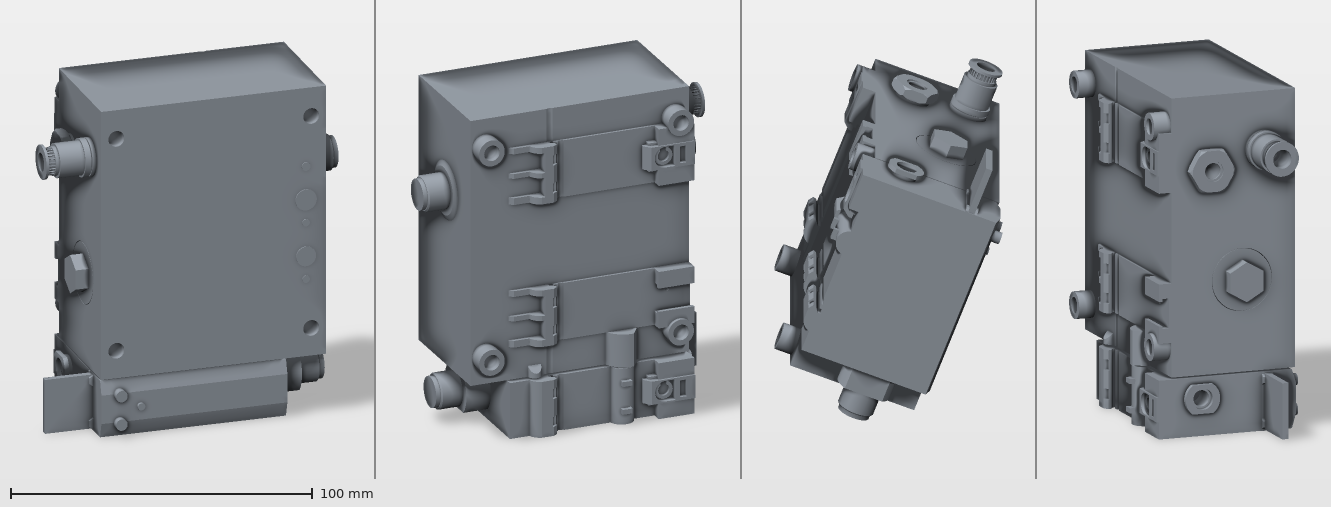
import cadquery as cq
import math


height = 115.5
housing_bottom = 20.7
housing_width = 44.0
housing_length = 65.0
cover_length = 13.6
housing_height = height - housing_bottom
rear_face = housing_length + cover_length

module_height = 20.0
module_width = 44.4
module_nose = 1.5
module_nose_low = 5.2
module_nose_high = 15.2
carrier_joint = 0.3
port_neck_end = -1.6
port_face = -3.2

seat_height = 20.2
seat_bottoms = (32.5, 83.5)
carrier_back = -0.9
carrier_rear_back = -1.3
hook_face = -4.4
ledge_face = -4.5
ledge_length = 12.8
latch_height = 8.3
latch_flange_height = 10.2
latch_flange_face = -3.2
latch_slide_length = 15.6
latch_flange_length = 15.9
latch_tip = 17.7
module_latch_face = -5.3
housing_latch_face = -5.0

spacer_diameter = 9.2
spacer_bore = 5.5
spacer_face = -5.9
spacer_root = 1.2
spacer_front_y = 5.3
spacer_rear_y = 73.5
spacer_heights = (30.4, 105.3)

push_in_place = (32.7, 95.7)
nipple_place = (12.9, 90.7)
plug_place = (25.1, 52.0)
plug_recess_diameter = 21.5
plug_flange_diameter = 21.0
plug_flange_depth = 2.3


def box(x0, x1, y0, y1, z0, z1):
    """Box between two corners."""
    return cq.Workplane("XY").box(x1 - x0, y1 - y0, z1 - z0, centered=False).translate((x0, y0, z0))


def rod_x(x0, x1, y, z, diameter):
    """Round rod along X."""
    return cq.Workplane("YZ").center(y, z).circle(diameter / 2).extrude(x1 - x0).translate((x0, 0, 0))


def rod_y(y0, y1, place, diameter):
    """Round rod along Y, centred on an (x, z) place."""
    x, z = place
    return cq.Workplane("XZ").center(x, z).circle(diameter / 2).extrude(y0 - y1).translate((0, y0, 0))


def prism_y(y0, y1, place, across_flats, sides, turn=0.0):
    """Regular prism along Y, turned about its own axis by an angle in degrees."""
    x, z = place
    corners = across_flats / math.cos(math.pi / sides)
    prism = cq.Workplane("XZ").polygon(sides, corners).extrude(y0 - y1)
    return prism.rotate((0, 0, 0), (0, 1, 0), turn).translate((x, y0, z))


def carrier_profile(bottom, tall):
    """Rail carrier: hook at the rear, stepped groove, flat back and a ledge with a latch channel."""
    middle = bottom + tall / 2
    carrier = (
        cq.Workplane("XY")
        .moveTo(carrier_joint, housing_length)
        .lineTo(carrier_rear_back, housing_length)
        .lineTo(carrier_rear_back, 58.0)
        .threePointArc((-3.2, 56.8), (hook_face, 54.9))
        .lineTo(hook_face, 50.5)
        .lineTo(-3.2, 48.9)
        .lineTo(-2.2, 49.2)
        .lineTo(carrier_back, 50.8)
        .lineTo(0, 50.8)
        .lineTo(0, 49.2)
        .lineTo(carrier_back, 49.2)
        .lineTo(carrier_back, 47.6)
        .lineTo(-0.3, 47.6)
        .lineTo(-0.3, 46.5)
        .lineTo(-0.6, 46.5)
        .lineTo(-0.6, 45.5)
        .lineTo(carrier_back, 45.5)
        .lineTo(carrier_back, ledge_length)
        .lineTo(ledge_face, ledge_length)
        .lineTo(ledge_face, 0)
        .lineTo(carrier_joint, 0)
        .close()
        .extrude(tall)
        .translate((0, 0, bottom))
    )
    half_slot = latch_height / 2
    half_flange = latch_flange_height / 2
    carrier = carrier.cut(
        box(ledge_face, carrier_back, 0, ledge_length, middle - half_slot, middle + half_slot)
    )
    carrier = carrier.cut(
        box(latch_flange_face, carrier_back, 0, ledge_length, middle - half_flange, middle + half_flange)
    )
    return carrier.cut(hook_notches(middle))


def hook_notches(middle):
    """Two notches in the bevelled tip of the hook."""
    notch_height = 3.6
    notch_spacing = 9.9
    notches = cq.Workplane("XY")
    for side in (-1, 1):
        z = middle + side * notch_spacing / 2
        notches = notches.add(
            box(hook_face, -2.8, 48.5, 50.8, z - notch_height / 2, z + notch_height / 2)
        )
    return notches.combine()


def rail_seat(bottom):
    """Rail carrier shape moulded on the housing, with two windows and a bevelled rear edge."""
    window_front = 53.6
    bevel_front = 63.5
    seat = carrier_profile(bottom, seat_height)
    window_spans = ((2.4, 9.4), (11.1, 18.1))
    for low, high in window_spans:
        seat = seat.cut(box(hook_face, 0, window_front, housing_length, bottom + low, bottom + high))
    bevel_corners = [
        (carrier_rear_back, bevel_front),
        (carrier_rear_back, housing_length),
        (0, housing_length),
    ]
    bevel = cq.Workplane("XY").polyline(bevel_corners).close().extrude(height)
    return seat.cut(bevel)


def housing_wedge():
    """Rail wedge beside the lower spacer."""
    return (
        cq.Workplane("XY")
        .moveTo(0, 30.1)
        .threePointArc((-4.2, 26.9), (-5.3, 22.1))
        .lineTo(-1.4, 19.4)
        .lineTo(0, 19.4)
        .close()
        .extrude(seat_bottoms[0] - housing_bottom)
        .translate((0, 0, housing_bottom))
    )


def slanted_stud():
    """Half-round stud on the rail side with a slanted top."""
    radius = 2.3
    stud_y = 55.7
    stud_top = 24.6
    top_drop = 2.3
    stud = cq.Workplane("XY").center(0, stud_y).circle(radius).extrude(stud_top - housing_bottom)
    stud = stud.translate((0, 0, housing_bottom))
    slope = (
        cq.Workplane("XZ")
        .polyline([(0, stud_top), (-radius, stud_top), (-radius, stud_top - top_drop)])
        .close()
        .extrude(-rear_face)
    )
    return stud.cut(slope)


def rail_side_groove():
    """Shallow round groove along the height of the rail side, outside the carriers and the plain middle."""
    groove = cq.Workplane("XY").moveTo(0, 51.3).threePointArc((0.3, 50.2), (0, 49.2)).close()
    groove = groove.extrude(housing_height).translate((0, 0, housing_bottom))
    plain_middle = box(-1.2, 1.2, 46.2, 53.1, seat_bottoms[0], seat_bottoms[1] + seat_height)
    return groove.cut(plain_middle)


def spacers_at(y):
    """Two spacer tubes on the rail side at one depth, without their bores."""
    return [rod_x(spacer_face, spacer_root, y, z, spacer_diameter) for z in spacer_heights]


def drill_spacers(body, y):
    """Bore the two spacers at one depth right through the body."""
    for z in spacer_heights:
        body = body.cut(rod_x(spacer_face, housing_width, y, z, spacer_bore))
    return body


def make_housing():
    vent_diameter = 1.5
    vent_y = 8.3
    vent_z = 44.7
    housing = box(0, housing_width, 0, housing_length, housing_bottom, height)
    housing = housing.cut(rail_side_groove())
    for bottom in seat_bottoms:
        housing = housing.union(rail_seat(bottom))
    housing = housing.union(housing_wedge()).union(slanted_stud())
    for spacer in spacers_at(spacer_front_y):
        housing = housing.union(spacer)
    housing = drill_spacers(housing, spacer_front_y)
    housing = housing.cut(rod_y(0, plug_flange_depth, plug_place, plug_recess_diameter))
    return housing.cut(rod_x(carrier_back, carrier_back + 1.2, vent_y, vent_z, vent_diameter))


def round_connector(start, shank_end, tip_end, place):
    """Round connector shank with a bevelled end and a narrower tip, pointing to the rear."""
    bevel = 0.5
    shank_diameter = 12.5
    tip_diameter = 10.9
    shank = rod_y(start, shank_end, place, shank_diameter).faces(">Y").chamfer(bevel)
    return shank.union(rod_y(start, tip_end, place, tip_diameter))


def make_cover():
    connector_place = (21.0, 82.9)
    indicator_y = 71.6
    collar_diameter = 20.6
    collar_top_diameter = 16.9
    collar_height = 0.9
    cover = box(0, housing_width, housing_length, rear_face, housing_bottom, height)
    for spacer in spacers_at(spacer_rear_y):
        cover = cover.union(spacer)
    cover = drill_spacers(cover, spacer_rear_y)
    x, z = connector_place
    collar = cq.Solid.makeCone(
        collar_diameter / 2,
        collar_top_diameter / 2,
        collar_height,
        pnt=cq.Vector(x, rear_face, z),
        dir=cq.Vector(0, 1, 0),
    )
    cover = cover.union(cq.Workplane(collar))
    cover = cover.union(round_connector(rear_face, 87.4, 88.9, connector_place))
    for z, diameter in ((87.8, 3.0), (76.0, 7.4), (67.9, 2.5), (56.0, 6.9), (47.9, 2.5)):
        cover = cover.union(rod_x(housing_width - 1.2, module_width, indicator_y, z, diameter))
    return cover


def module_block():
    """Block whose operating side is bevelled towards the top and the bottom."""
    shoulder = module_width - module_nose
    outline = [
        (carrier_joint, 0),
        (shoulder, 0),
        (module_width, module_nose_low),
        (module_width, module_nose_high),
        (shoulder, module_height),
        (carrier_joint, module_height),
    ]
    return cq.Workplane("XZ").polyline(outline).close().extrude(-housing_length)


def module_port(place):
    """Tube port with a flanged release ring that is flattened above and below."""
    ring_height = 9.8
    ring_diameter = 12.2
    neck_diameter = 9.0
    neck = rod_y(port_neck_end, 0, place, neck_diameter)
    port = neck.union(rod_y(port_face, port_neck_end, place, ring_diameter))
    x, z = place
    half = ring_height / 2
    return port.intersect(box(x - ring_diameter, x + ring_diameter, port_face, 0, z - half, z + half))


def label_plate():
    """Upright label plate with bevelled ribs beside its root and a low strip along one side."""
    plate_left = 32.9
    plate_right = 35.1
    plate_reach = 16.6
    strip_height = 0.3
    rib_width = 0.9
    rib_reach = 1.4
    rib_height = 3.9
    rib_bevel = 0.9
    rib_inset = 0.5
    plate = box(plate_left, plate_right, -plate_reach, 0, rib_inset, module_height - rib_inset)
    plate = plate.union(box(plate_left - rib_width, plate_left, -strip_height, 0, 0, module_height))
    for x in (plate_left - rib_width, plate_right):
        for low in (rib_inset, module_height - rib_inset - rib_height):
            high = low + rib_height
            outline = [(0, low), (-rib_reach, low + rib_bevel), (-rib_reach, high - rib_bevel), (0, high)]
            rib = cq.Workplane("YZ").polyline(outline).close().extrude(rib_width)
            plate = plate.union(rib.translate((x, 0, 0)))
    return plate


def connector_root(place, root_end):
    """Root of the module connector: round at the sides, flat above and below."""
    root_diameter = 18.5
    root_height = 12.9
    x, z = place
    half = root_height / 2
    limit = box(x - root_diameter, x + root_diameter, housing_length, root_end, z - half, z + half)
    return rod_y(housing_length, root_end, place, root_diameter).intersect(limit)


def make_module():
    port_place = (9.9, 13.2)
    port_bore_depth = 6.9
    connector_place = (24.1, 10.2)
    connector_root_end = 73.8
    port_mouth = 7.2
    port_bore = 5.5
    button_root = module_width - 1.2
    knob_face = 46.8
    knob_diameter = 4.0
    button_face = 45.4
    button_diameter = 2.5
    module = module_block().union(label_plate()).union(module_port(port_place))
    module = module.cut(rod_y(port_face, port_neck_end, port_place, port_mouth))
    module = module.cut(rod_y(port_neck_end, port_bore_depth, port_place, port_bore))
    module = module.union(connector_root(connector_place, connector_root_end))
    module = module.union(round_connector(connector_root_end, 81.4, 83.0, connector_place))
    for z in (15.0, 5.0):
        module = module.union(rod_x(button_root, knob_face, 6.4, z, knob_diameter))
    return module.union(rod_x(button_root, button_face, 13.7, 10.0, button_diameter))


def make_carrier():
    """Carrier of the module: rail profile, rounded rail clip and two small tabs on the clip."""
    tab_height = 1.7
    tab_root = -3.5
    carrier = carrier_profile(0, module_height)
    clip = (
        cq.Workplane("XY")
        .moveTo(carrier_joint, 28.6)
        .lineTo(carrier_back, 28.6)
        .threePointArc((hook_face, 24.5), (carrier_back, 20.2))
        .lineTo(carrier_joint, 20.2)
        .close()
        .extrude(module_height)
    )
    carrier = carrier.union(clip)
    for z in (15.0, 5.1):
        carrier = carrier.union(
            box(spacer_face, tab_root, 22.8, 26.3, z - tab_height / 2, z + tab_height / 2)
        )
    return carrier


def make_latch(middle, face):
    """Sliding latch: T-shaped bar, hooked tip, pocket with a split ring, and finger slot."""
    half = latch_height / 2
    half_flange = latch_flange_height / 2
    half_slot = 3.0
    slot_depth = 1.7
    bar = (
        cq.Workplane("XY")
        .moveTo(carrier_back, 0)
        .lineTo(face, 0)
        .lineTo(face, latch_slide_length)
        .lineTo(-2.8, latch_tip)
        .lineTo(-1.6, latch_tip)
        .lineTo(-1.6, latch_slide_length)
        .lineTo(carrier_back, latch_slide_length)
        .close()
        .extrude(latch_height)
        .translate((0, 0, middle - half))
    )
    flange = box(
        latch_flange_face, carrier_back, 0, latch_flange_length, middle - half_flange, middle + half_flange
    )
    slot = box(face, face + slot_depth, 3.0, 5.4, middle - half_slot, middle + half_slot)
    return bar.union(flange).cut(slot).cut(latch_pocket(middle, face))


def latch_pocket(middle, face):
    """Pocket with a round rear end, around a sunk ring that is split at the top."""
    depth = 2.5
    ring_sink = 1.4
    ring_outer_diameter = 6.5
    ring_inner_diameter = 4.0
    half_split = 1.2
    pocket_y = 10.7
    half = 3.7
    floor = face + depth
    pocket = rod_x(face, floor, pocket_y, middle, 2 * half)
    pocket = pocket.union(box(face, floor, pocket_y - half, pocket_y, middle - half, middle + half))
    ring = rod_x(face + ring_sink, floor, pocket_y, middle, ring_outer_diameter)
    ring = ring.cut(rod_x(face, floor, pocket_y, middle, ring_inner_diameter))
    split = box(face, floor, pocket_y - half_split, pocket_y + half_split, middle, middle + half)
    return pocket.cut(ring.cut(split))


def make_push_in_fitting():
    """Push-in tube fitting: grooved collar, sleeve, finned neck, release ring and stepped bore."""
    collar_diameter = 13.2
    sleeve_diameter = 11.8
    neck_diameter = 10.0
    core_diameter = 8.5
    fin_count = 24
    fin_width = 0.3
    tube_bore = 6.5
    flow_bore = 4.5
    fin_root = 3.9
    fin_reach = 4.7
    tube_stop = -6.9
    bore_end = -2.3
    collar_end = -3.8
    groove_start = -1.4
    groove_end = -1.7
    sleeve_end = -12.4
    neck_end = -13.6
    ring_start = -16.3
    ring_end = -17.2
    x, z = push_in_place
    fitting = rod_y(collar_end, 0, push_in_place, collar_diameter)
    groove = rod_y(groove_end, groove_start, push_in_place, collar_diameter)
    fitting = fitting.cut(groove).union(rod_y(sleeve_end, 0, push_in_place, sleeve_diameter))
    fitting = fitting.union(rod_y(neck_end, sleeve_end, push_in_place, neck_diameter))
    fitting = fitting.union(rod_y(ring_start, neck_end, push_in_place, core_diameter))
    fitting = fitting.union(rod_y(ring_end, ring_start, push_in_place, sleeve_diameter))
    for i in range(fin_count):
        fin = box(fin_root, fin_reach, ring_start, neck_end, -fin_width / 2, fin_width / 2)
        fin = fin.rotate((0, 0, 0), (0, 1, 0), i * 360 / fin_count)
        fitting = fitting.union(fin.translate((x, 0, z)))
    fitting = fitting.cut(rod_y(ring_end, tube_stop, push_in_place, tube_bore))
    return fitting.cut(rod_y(tube_stop, bore_end, push_in_place, flow_bore))


def make_nipple():
    """Hexagon nipple on a round seat, corners bevelled, with a cone-ended threaded port."""
    across_flats = 14.0
    corner_diameter = 16.2
    seat_diameter = 12.2
    seat_depth = 1.4
    face = -5.0
    bevel = 0.8
    bore_mouth = 7.2
    bore = 5.5
    mouth_depth = 0.5
    bore_end = -3.5
    cone_length = 2.8
    x, z = nipple_place
    hexagon = prism_y(face, -seat_depth, nipple_place, across_flats, 6)
    corner_limit = rod_y(face, -seat_depth, nipple_place, corner_diameter).edges().chamfer(bevel)
    nipple = hexagon.intersect(corner_limit).union(rod_y(-seat_depth, 0, nipple_place, seat_diameter))
    nipple = nipple.cut(rod_y(face, face + mouth_depth, nipple_place, bore_mouth))
    cone = cq.Solid.makeCone(bore / 2, 0, cone_length, pnt=cq.Vector(x, bore_end, z), dir=cq.Vector(0, 1, 0))
    return nipple.cut(rod_y(face, bore_end, nipple_place, bore)).cut(cq.Workplane(cone))


def make_plug():
    """Screw plug: hexagon head on a round flange set flush in the housing."""
    head_reach = 4.5
    across_flats = 11.8
    flange = rod_y(0, plug_flange_depth, plug_place, plug_flange_diameter)
    return flange.union(prism_y(-head_reach, 0, plug_place, across_flats, 6, 30))


housing = make_housing()
cover = make_cover()
module = make_module()
carrier = make_carrier()
module_latch = make_latch(module_height / 2, module_latch_face)
housing_latch = make_latch(seat_bottoms[1] + seat_height / 2, housing_latch_face)
push_in_fitting = make_push_in_fitting()
nipple = make_nipple()
plug = make_plug()

bodies = [housing, cover, module, carrier, module_latch, housing_latch, push_in_fitting, nipple, plug]
result = cq.Compound.makeCompound([body.solids().val() for body in bodies])